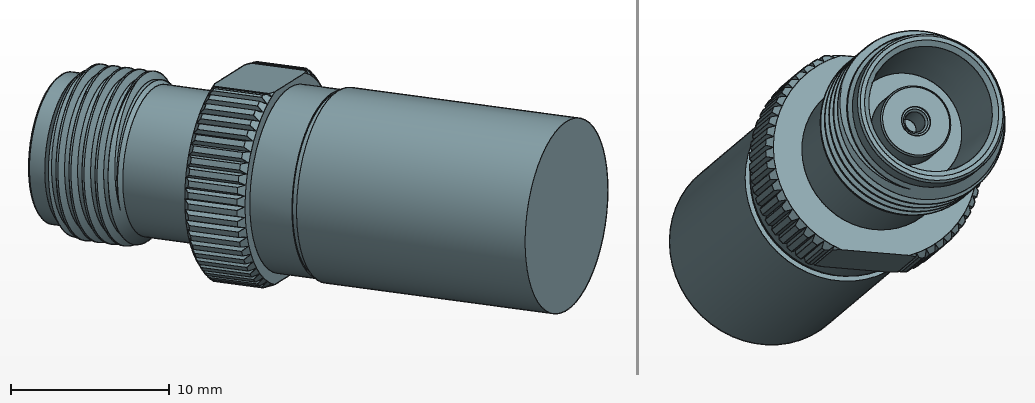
import cadquery as cq


overall_length = 35.15
collar_start = 11.78
collar_end = 15.95
thread_start = 1.2
thread_end = 6.6
relief_start = 18.88
sleeve_start = 19.3

barrel_radius = 4.85
barrel_chamfer = 0.15
rear_radius = 6.0
relief_radius = 5.9
sleeve_radius = 6.22

collar_diameter = 14.25
collar_radius = collar_diameter / 2
collar_chamfer = 0.4
collar_across_flats = 12.7
knurl_count = 60
knurl_depth = 0.35
knurl_width = 0.35

thread_crest_radius = 5.6
thread_root_radius = 5.1
ridge_base_width = 0.6
ridge_crest_width = 0.15
ridge_embed = 0.07
envelope_clearance = 0.1
thread_first_turn = 0.8
thread_turns = 7
ridge_length = 6.33
thread_pitch = ridge_length / thread_turns

socket_depth = 5.27
socket_mouth_radius = 4.43
socket_radius = 4.08
socket_floor_radius = 3.65
socket_mouth_chamfer = 0.2
insulator_face = 3.25
insulator_radius = 2.32
insulator_chamfer = 0.1
contact_bore_mouth_radius = 0.95
contact_step_radius = 0.8
contact_bore_radius = 0.67
contact_step_depth = 0.1
contact_bore_depth = 2.1


def revolve_profile(points):
    """Solid of revolution about X from a closed outline of (x, radius) points."""
    return cq.Workplane("XZ").polyline(points).close().revolve(360, (0, 0, 0), (1, 0, 0))


def make_barrel():
    """Stepped outside of the connector, from the mating end to the sleeve."""
    return revolve_profile([
        (0, 0),
        (0, barrel_radius - barrel_chamfer),
        (barrel_chamfer, barrel_radius),
        (collar_start, barrel_radius),
        (collar_end, barrel_radius),
        (collar_end, rear_radius),
        (relief_start, rear_radius),
        (relief_start, relief_radius),
        (sleeve_start, relief_radius),
        (sleeve_start, 0),
    ])


def make_collar():
    """Chamfered collar with two wrench flats and straight V knurls between them."""
    collar = (
        cq.Workplane("YZ", origin=(collar_start, 0, 0))
        .circle(collar_radius)
        .extrude(collar_end - collar_start)
        .faces("<X or >X")
        .chamfer(collar_chamfer)
    )
    flats = cq.Workplane("XY").box(
        2 * overall_length, 2 * overall_length, collar_across_flats
    )
    collar = collar.intersect(flats)

    groove = (
        cq.Workplane("YZ", origin=(collar_start, 0, 0))
        .polyline([
            (collar_radius - knurl_depth, 0),
            (collar_radius + knurl_depth, knurl_width),
            (collar_radius + knurl_depth, -knurl_width),
        ])
        .close()
        .extrude(collar_end - collar_start)
    )
    grooves = []
    for index in range(knurl_count):
        angle = index * 360 / knurl_count
        grooves.append(groove.rotate((0, 0, 0), (1, 0, 0), angle).val())
    return collar.cut(cq.Workplane(obj=cq.Compound.makeCompound(grooves)))


def make_thread():
    """Threaded band: a root cylinder and helical ridge, both ends chamfered at 45 degrees."""
    base_radius = thread_root_radius - ridge_embed
    ridge_height = thread_crest_radius - thread_root_radius
    flank_slope = (ridge_base_width - ridge_crest_width) / (2 * ridge_height)
    half_base = ridge_base_width / 2 + flank_slope * ridge_embed
    half_crest = ridge_crest_width / 2

    helix = cq.Wire.makeHelix(thread_pitch, ridge_length, base_radius)
    ridge = (
        cq.Workplane("XZ")
        .polyline([
            (base_radius, -half_base),
            (thread_crest_radius, -half_crest),
            (thread_crest_radius, half_crest),
            (base_radius, half_base),
        ])
        .close()
        .sweep(cq.Workplane(obj=helix), isFrenet=True)
        .rotate((0, 0, 0), (0, 1, 0), 90)
        .translate((thread_first_turn, 0, 0))
    )

    core = cq.Workplane("YZ").circle(thread_root_radius).extrude(collar_start)

    envelope_radius = thread_crest_radius + envelope_clearance
    rise = envelope_radius - barrel_radius
    envelope = revolve_profile([
        (thread_start, 0),
        (thread_start, barrel_radius),
        (thread_start + rise, envelope_radius),
        (thread_end - rise, envelope_radius),
        (thread_end, barrel_radius),
        (thread_end, 0),
    ])
    return core.union(ridge).intersect(envelope)


def make_socket_cavity():
    """Mating socket around the insulator, together with the bore of the contact."""
    step_floor = insulator_face + contact_step_depth
    return revolve_profile([
        (0, 0),
        (0, socket_mouth_radius),
        (socket_mouth_chamfer, socket_radius),
        (socket_depth, socket_floor_radius),
        (socket_depth, insulator_radius),
        (insulator_face + insulator_chamfer, insulator_radius),
        (insulator_face, insulator_radius - insulator_chamfer),
        (insulator_face, contact_bore_mouth_radius),
        (step_floor, contact_bore_mouth_radius),
        (step_floor, contact_step_radius),
        (step_floor + contact_step_radius - contact_bore_radius, contact_bore_radius),
        (insulator_face + contact_bore_depth, contact_bore_radius),
        (insulator_face + contact_bore_depth, 0),
    ])


def make_connector():
    """One-piece connector body with its thread, knurled collar and mating socket."""
    return make_barrel().union(make_collar()).union(make_thread()).cut(make_socket_cavity())


def make_sleeve():
    """Plain cylinder that butts against the rear of the connector."""
    return (
        cq.Workplane("YZ", origin=(sleeve_start, 0, 0))
        .circle(sleeve_radius)
        .extrude(overall_length - sleeve_start)
    )


connector = make_connector()
sleeve = make_sleeve()
result = cq.Compound.makeCompound([connector.val(), sleeve.val()])